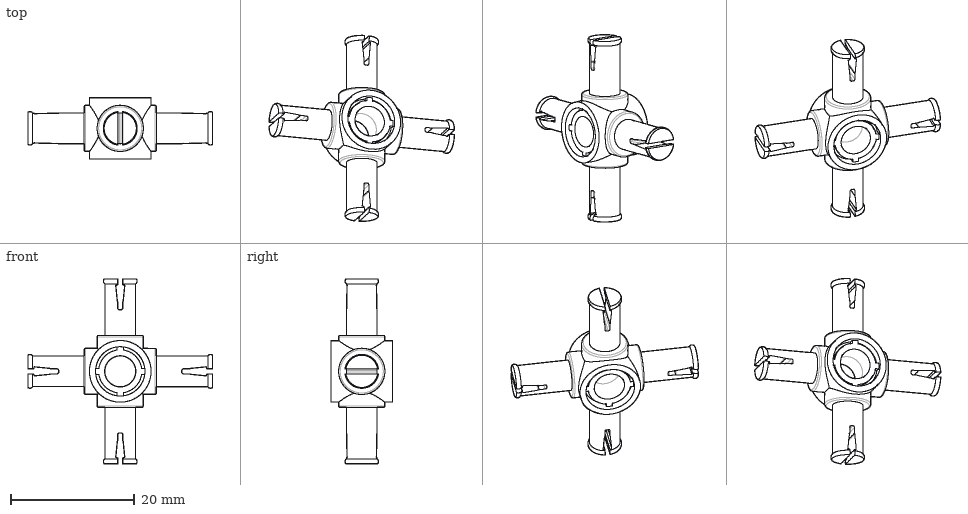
import cadquery as cq
HUB_DIAMETER = 10.0
HUB_LENGTH = 10.0
BORE_DIAMETER = 5.0

RECESS_DIAMETER = 8.0
RECESS_DEPTH = 0.8
GROOVE_INNER_DIAMETER = 7.0
GROOVE_DEPTH = 1.0
TAB_WIDTH = 1.0

PIN_COUNT = 4
PIN_REACH = 15.0
PIN_DIAMETER = 5.0
COLLAR_DIAMETER = 7.5
COLLAR_REACH = 5.85
COLLAR_FILLET = 0.25

BEAD_DIAMETER = 5.5
BEAD_WIDTH = 0.8
TIP_FACE_DIAMETER = 5.22

SLOT_WIDTH = 0.8
SLOT_DEPTH = 5.0
SLOT_FLOOR_FILLET = 0.28
FLARE_WIDTH = 1.42
FLARE_START_DEPTH = 0.95
FLARE_FULL_DEPTH = 1.08
TAPER_END_WIDTH = 0.92
TAPER_END_DEPTH = 3.6
TAPER_STEP_DEPTH = 3.75


def cylinder_along_z(diameter, length):
    return cq.Workplane("XY").circle(diameter / 2).extrude(length)


def hub_barrel(diameter, length):
    """Cylinder along Y, centred on the origin."""
    return cq.Workplane("XZ").circle(diameter / 2).extrude(length / 2, both=True)


def slot_cutter():
    """Through-Y cutter for the slot of the +Z pin: narrow mouth, flare, taper, narrow end."""
    half_profile = [
        (SLOT_WIDTH / 2, PIN_REACH),
        (SLOT_WIDTH / 2, PIN_REACH - FLARE_START_DEPTH),
        (FLARE_WIDTH / 2, PIN_REACH - FLARE_FULL_DEPTH),
        (TAPER_END_WIDTH / 2, PIN_REACH - TAPER_END_DEPTH),
        (SLOT_WIDTH / 2, PIN_REACH - TAPER_STEP_DEPTH),
        (SLOT_WIDTH / 2, PIN_REACH - SLOT_DEPTH),
    ]
    mirrored_half = [(-x, z) for x, z in reversed(half_profile)]
    cutter = (
        cq.Workplane("XZ")
        .polyline(half_profile + mirrored_half)
        .close()
        .extrude(BEAD_DIAMETER, both=True)
    )
    return cutter.faces("<Z").edges("|Y").fillet(SLOT_FLOOR_FILLET)


def snap_pin():
    """One slotted pin with its root collar, pointing along +Z from the hub centre."""
    collar = cylinder_along_z(COLLAR_DIAMETER, COLLAR_REACH).faces(">Z").edges().fillet(COLLAR_FILLET)
    shaft_and_bead = (
        cq.Workplane("XZ")
        .lineTo(PIN_DIAMETER / 2, 0)
        .lineTo(PIN_DIAMETER / 2, PIN_REACH - BEAD_WIDTH)
        .threePointArc(
            (BEAD_DIAMETER / 2, PIN_REACH - BEAD_WIDTH / 2),
            (TIP_FACE_DIAMETER / 2, PIN_REACH),
        )
        .lineTo(0, PIN_REACH)
        .close()
        .revolve(360, (0, 0, 0), (0, 1, 0))
    )
    return collar.union(shaft_and_bead).cut(slot_cutter())


def face_recess():
    """Cutter for the -Y hub face: a round pocket around a sunken core with four tabs."""
    face_plane = cq.Workplane("XZ", origin=(0, -HUB_LENGTH / 2, 0))
    pocket = face_plane.circle(RECESS_DIAMETER / 2).extrude(-RECESS_DEPTH - GROOVE_DEPTH)
    core_plane = cq.Workplane("XZ", origin=(0, -HUB_LENGTH / 2 + RECESS_DEPTH, 0))
    core = core_plane.circle(GROOVE_INNER_DIAMETER / 2).extrude(-GROOVE_DEPTH)
    for width, height in ((TAB_WIDTH, HUB_DIAMETER), (HUB_DIAMETER, TAB_WIDTH)):
        core = core.union(core_plane.rect(width, height).extrude(-GROOVE_DEPTH))
    return pocket.cut(core)


def build_part():
    part = hub_barrel(HUB_DIAMETER, HUB_LENGTH)
    pin = snap_pin()
    for index in range(PIN_COUNT):
        part = part.union(pin.rotate((0, 0, 0), (0, 1, 0), index * 360 / PIN_COUNT))
    front_recess = face_recess()
    part = part.cut(front_recess).cut(front_recess.mirror("XZ"))
    return part.cut(hub_barrel(BORE_DIAMETER, HUB_LENGTH))


result = build_part()